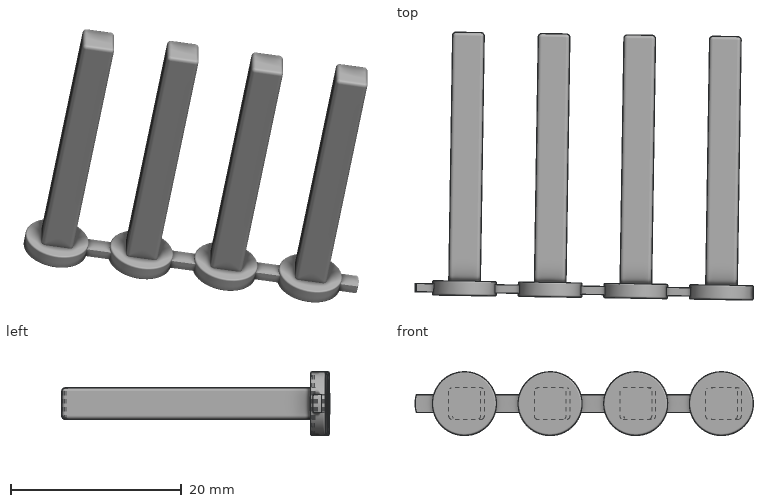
import cadquery as cq
import math

PIN_COUNT = 4
PITCH = 10.02
TILT = 0.9

HEAD_DIAMETER = 7.5
HEAD_THICKNESS = 1.7
HEAD_FILLET = 0.2

PIN_LENGTH = 30.82
SHANK_WIDTH = 3.72
SHANK_FILLET = 0.45

STRAP_HEIGHT = 2.1
STRAP_THICKNESS = 1.0
STRAP_OVERHANG = 5.8
STRAP_END_RADIUS = HEAD_DIAMETER / 2


def make_pin(x):
    """Pin along +Y with its head face on Y = 0."""
    head = (
        cq.Workplane("XZ", origin=(x, 0, 0))
        .circle(HEAD_DIAMETER / 2)
        .extrude(-HEAD_THICKNESS)
        .edges()
        .fillet(HEAD_FILLET)
    )
    shank_start = HEAD_THICKNESS / 2
    shank = (
        cq.Workplane("XZ", origin=(x, shank_start, 0))
        .rect(SHANK_WIDTH, SHANK_WIDTH)
        .extrude(-(PIN_LENGTH - shank_start))
        .edges("|Y or >Y")
        .fillet(SHANK_FILLET)
    )
    return head.union(shank)


def make_strap():
    """Flat bar from a rounded free end to the centre of the last pin."""
    half_height = STRAP_HEIGHT / 2
    end_sagitta = STRAP_END_RADIUS - math.sqrt(STRAP_END_RADIUS**2 - half_height**2)
    corner_x = end_sagitta - STRAP_OVERHANG
    last_pin_x = (PIN_COUNT - 1) * PITCH
    strap_front = (HEAD_THICKNESS - STRAP_THICKNESS) / 2
    return (
        cq.Workplane("XZ", origin=(0, strap_front, 0))
        .moveTo(last_pin_x, -half_height)
        .lineTo(corner_x, -half_height)
        .threePointArc((-STRAP_OVERHANG, 0), (corner_x, half_height))
        .lineTo(last_pin_x, half_height)
        .close()
        .extrude(-STRAP_THICKNESS)
    )


row = make_strap()
for index in range(PIN_COUNT):
    row = row.union(make_pin(index * PITCH))

result = row.rotate((0, 0, 0), (0, 0, 1), -TILT)